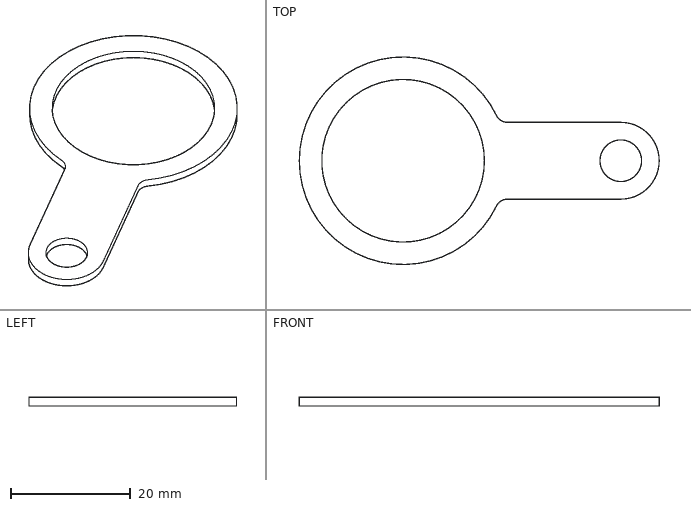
import cadquery as cq

overall_length = 60.2
thickness = 1.5
ring_outer_diameter = 34.7
ring_inner_diameter = 27.15
tab_width = 12.9
tab_hole_diameter = 6.9
neck_fillet_radius = 2.0

ring_radius = ring_outer_diameter / 2
tab_end_radius = tab_width / 2
tab_end_x = overall_length - ring_radius - tab_end_radius


def disc(diameter, x=0.0):
    """Flat disc of the plate thickness, centred at x on the long axis."""
    return cq.Workplane("XY").center(x, 0).circle(diameter / 2).extrude(thickness)


def tab():
    """Straight tab from the ring centre to a full-round end."""
    straight = cq.Workplane("XY").rect(tab_end_x, tab_width).extrude(thickness)
    return straight.translate((tab_end_x / 2, 0, 0)).union(disc(tab_width, tab_end_x))


blank = disc(ring_outer_diameter).union(tab())
neck_corners = cq.selectors.BoxSelector(
    (0, -ring_radius, 0), (ring_radius, ring_radius, thickness)
)
blank = blank.edges("|Z").edges(neck_corners).fillet(neck_fillet_radius)

result = blank.cut(disc(ring_inner_diameter)).cut(disc(tab_hole_diameter, tab_end_x))